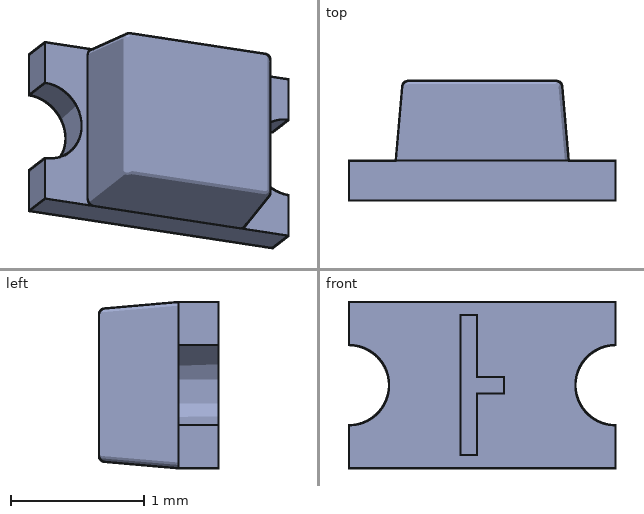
import cadquery as cq

board_length = 2.0
board_thickness = 0.3
board_height = 1.25
notch_radius = 0.3

lens_base_length = 1.3
lens_base_height = board_height
lens_depth = 0.6
lens_draft = 5.0
lens_fillet = 0.05

mark_bar_height = 1.05
mark_line_width = 0.125
mark_stem_length = 0.2
mark_depth = 0.02

front_y = -board_thickness / 2
back_y = board_thickness / 2


def plane_at(y):
    """Plane at the given Y, facing +Y, with local x along -X and local y along Z."""
    return cq.Workplane(cq.Plane(origin=(0, y, 0), xDir=(-1, 0, 0), normal=(0, 1, 0)))


def make_polarity_mark():
    half_length = (mark_line_width + mark_stem_length) / 2
    bar_center_x = -half_length + mark_line_width / 2
    stem_center_x = half_length - mark_stem_length / 2
    center_y = front_y + mark_depth / 2
    bar = cq.Workplane("XY").box(mark_line_width, mark_depth, mark_bar_height)
    stem = cq.Workplane("XY").box(mark_stem_length, mark_depth, mark_line_width)
    bar = bar.translate((bar_center_x, center_y, 0))
    stem = stem.translate((stem_center_x, center_y, 0))
    return bar.union(stem)


def make_board(mark):
    board = cq.Workplane("XY").box(board_length, board_thickness, board_height)
    end_centers = [(-board_length / 2, 0), (board_length / 2, 0)]
    notches = plane_at(front_y).pushPoints(end_centers).circle(notch_radius).extrude(board_thickness)
    return board.cut(notches).cut(mark)


def make_lens():
    base = plane_at(back_y).rect(lens_base_length, lens_base_height)
    lens = base.extrude(lens_depth, taper=lens_draft)
    return lens.edges("not(<Y)").fillet(lens_fillet)


polarity_mark = make_polarity_mark()
board = make_board(polarity_mark)
lens = make_lens()

result = cq.Compound.makeCompound([board.val(), lens.val(), polarity_mark.val()])